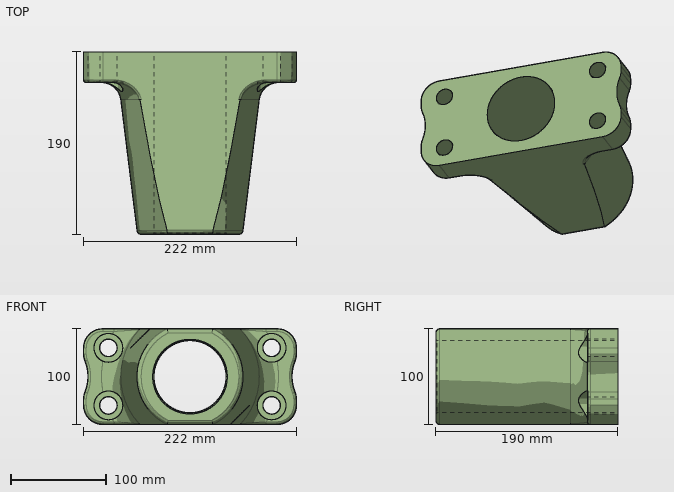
import cadquery as cq
import math

width = 222.0
height = 100.0
length = 190.0

plate_thickness = 32.0
corner_radius = 20.2
edge_round = 2.9
waist_start = 23.5
waist_radius = 42.2
waist_blend_radius = 20.0

neck_tip_radius = 54.8
neck_root_radius = 72.2
neck_root_y = 50.0
root_fillet = 20.2
tip_round = 4.5

bore_diameter = 75.0
bore_mouth_diameter = 78.0
hole_diameter = 18.0
spotface_diameter = 30.0
spotface_depth = 0.5
hole_x = 85.0
hole_z = 30.0

match_tolerance = 0.02

half_width = width / 2
half_height = height / 2

taper = math.atan((neck_root_radius - neck_tip_radius) / (length - neck_root_y))
flare_centre_y = plate_thickness + root_fillet
tangent_y = flare_centre_y - root_fillet * math.sin(taper)
tangent_radius = neck_root_radius - (tangent_y - neck_root_y) * math.tan(taper)
flare_radius = tangent_radius + root_fillet * math.cos(taper)


def make_plate():
    """Rounded plate with a shallow waist on its two short sides."""
    bend = math.asin(waist_start / (waist_radius + waist_blend_radius))
    join_z = waist_radius * math.sin(bend)
    join_x = half_width - waist_blend_radius * (1 - math.cos(bend))
    waist_x = join_x - waist_radius * (1 - math.cos(bend))
    blend_mid_x = half_width - waist_blend_radius * (1 - math.cos(bend / 2))
    blend_mid_z = waist_start - waist_blend_radius * math.sin(bend / 2)

    outline = cq.Workplane("XZ").moveTo(-half_width, half_height).lineTo(half_width, half_height)
    outline = (
        outline.lineTo(half_width, waist_start)
        .threePointArc((blend_mid_x, blend_mid_z), (join_x, join_z))
        .threePointArc((waist_x, 0), (join_x, -join_z))
        .threePointArc((blend_mid_x, -blend_mid_z), (half_width, -waist_start))
        .lineTo(half_width, -half_height)
        .lineTo(-half_width, -half_height)
        .lineTo(-half_width, -waist_start)
        .threePointArc((-blend_mid_x, -blend_mid_z), (-join_x, -join_z))
        .threePointArc((-waist_x, 0), (-join_x, join_z))
        .threePointArc((-blend_mid_x, blend_mid_z), (-half_width, waist_start))
        .close()
    )
    plate = outline.extrude(plate_thickness)
    corners = [
        edge
        for edge in plate.edges("|Y").vals()
        if abs(edge.Center().x) > join_x and abs(edge.Center().z) > waist_start + corner_radius
    ]
    return plate.newObject(corners).fillet(corner_radius)


def make_neck():
    """Cone about Y, flared into the plate by a concave fillet and flattened top and bottom."""
    mid_angle = (math.pi / 2 + taper) / 2
    flare_mid = (
        flare_radius - root_fillet * math.cos(mid_angle),
        -(flare_centre_y - root_fillet * math.sin(mid_angle)),
    )
    flats = cq.Workplane("XY").box(width, 2 * length, height)
    neck = (
        cq.Workplane("XY")
        .lineTo(flare_radius, 0)
        .lineTo(flare_radius, -plate_thickness)
        .threePointArc(flare_mid, (tangent_radius, -tangent_y))
        .lineTo(neck_tip_radius, -length)
        .lineTo(0, -length)
        .close()
        .revolve(360, (0, 0, 0), (0, 1, 0))
    )
    return neck.intersect(flats).faces("<Y").edges().fillet(tip_round)


def drill(diameter, start_y, end_y, points):
    """Round cutters along Y between two distances from the mounting face."""
    return (
        cq.Workplane("XZ", origin=(0, -start_y, 0))
        .pushPoints(points)
        .circle(diameter / 2)
        .extrude(end_y - start_y)
    )


def round_front_rim(body):
    """Round the front rim of the plate and its run along the edges of the flare."""
    rim = [
        edge
        for edge in body.edges().vals()
        if -tangent_y < edge.Center().y < -plate_thickness + edge_round / 2
        and not is_flare_seam(edge)
    ]
    return body.newObject(rim).fillet(edge_round)


def is_flare_seam(edge):
    """True for the smooth seam where the flare meets the flat front of the plate."""
    start = edge.startPoint()
    at_flare_radius = abs(math.hypot(start.x, start.z) - flare_radius) < match_tolerance
    return edge.geomType() == "CIRCLE" and at_flare_radius


neck = make_neck()
body = round_front_rim(make_plate().union(neck))

sharp_cone = neck.intersect(
    cq.Workplane("XY").box(width, length, height).translate((0, -tangent_y - length / 2, 0))
)
body = body.union(sharp_cone)

hole_points = [(x, z) for x in (-hole_x, hole_x) for z in (-hole_z, hole_z)]
spotface_floor = plate_thickness - spotface_depth
body = (
    body.cut(drill(spotface_diameter, spotface_floor, length, hole_points))
    .cut(drill(hole_diameter, 0, plate_thickness, hole_points))
    .cut(drill(bore_diameter, 0, length, [(0, 0)]))
)
mouth_chamfer = (bore_mouth_diameter - bore_diameter) / 2
bore_mouth = cq.selectors.RadiusNthSelector(0)
result = body.faces("<Y").edges(bore_mouth).chamfer(mouth_chamfer)